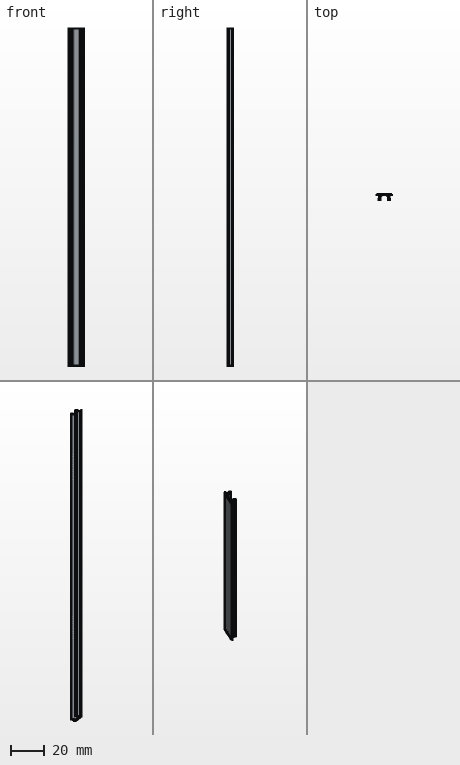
import cadquery as cq
import math

length = 200.0
cover_width = 9.0
profile_depth = 3.52

plate_thickness = 0.6
plate_bevel = 0.56

leg_inner_x = 2.2
leg_outer_x = 3.05
barb_outer_x = 3.35
barb_start_y = -0.78
tip_radius = 0.21
root_radius = 1.0

half_width = cover_width / 2
top_y = profile_depth / 2
underside_y = top_y - plate_thickness
tip_y = top_y - profile_depth


def arc_middle(center_x, center_y, radius, angle_degrees):
    """Point of a circle at the given angle from +X."""
    angle = math.radians(angle_degrees)
    return (center_x + radius * math.cos(angle), center_y + radius * math.sin(angle))


def make_plate():
    """Flat cover strip with both upper long edges bevelled."""
    outline = [
        (-half_width, underside_y),
        (half_width, underside_y),
        (half_width, top_y - plate_bevel),
        (half_width - plate_bevel, top_y),
        (-half_width + plate_bevel, top_y),
        (-half_width, top_y - plate_bevel),
    ]
    return cq.Workplane("XY").polyline(outline).close().extrude(length)


def make_right_leg():
    """Leg with an outward 45 degree barb, a rounded tip and a rounded inner root."""
    barb_shoulder_y = barb_start_y - (barb_outer_x - leg_outer_x)
    tip_center_y = tip_y + tip_radius
    tip_outer_center_x = barb_outer_x - tip_radius
    tip_inner_center_x = leg_inner_x + tip_radius
    root_center_x = leg_inner_x - root_radius
    root_center_y = underside_y - root_radius
    return (
        cq.Workplane("XY")
        .moveTo(root_center_x, underside_y)
        .lineTo(leg_outer_x, underside_y)
        .lineTo(leg_outer_x, barb_start_y)
        .lineTo(barb_outer_x, barb_shoulder_y)
        .lineTo(barb_outer_x, tip_center_y)
        .threePointArc(
            arc_middle(tip_outer_center_x, tip_center_y, tip_radius, -45),
            (tip_outer_center_x, tip_y),
        )
        .lineTo(tip_inner_center_x, tip_y)
        .threePointArc(
            arc_middle(tip_inner_center_x, tip_center_y, tip_radius, -135),
            (leg_inner_x, tip_center_y),
        )
        .lineTo(leg_inner_x, root_center_y)
        .threePointArc(
            arc_middle(root_center_x, root_center_y, root_radius, 45),
            (root_center_x, underside_y),
        )
        .close()
        .extrude(length)
    )


right_leg = make_right_leg()
left_leg = right_leg.mirror("YZ")
result = make_plate().union(right_leg).union(left_leg).clean()